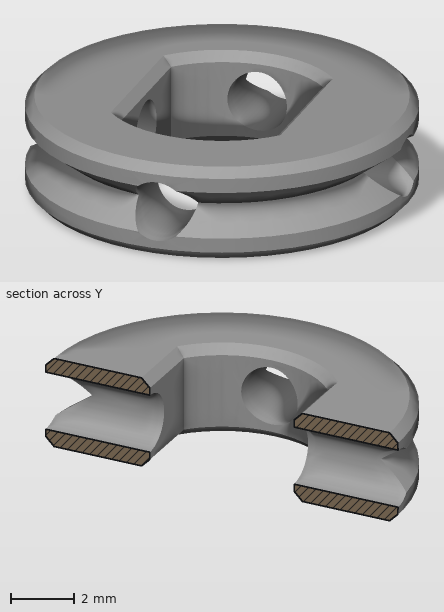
import cadquery as cq

outer_diameter = 12.5
thickness = outer_diameter / 4
edge_chamfer = 0.3

groove_width = thickness / 2
groove_depth = 1.05

bore_diameter = 7.0
bore_flat_width = 5.1

cross_hole_diameter = 2.0
hole_seam_angle = 45

outer_radius = outer_diameter / 2
half_thickness = thickness / 2
half_groove = groove_width / 2
chamfer_height = half_thickness - edge_chamfer


def grooved_disc():
    """Chamfered disc with a V groove around its rim, centred on the origin."""
    chamfer_radius = outer_radius - edge_chamfer
    profile = (
        cq.Workplane("XZ")
        .moveTo(0, -half_thickness)
        .lineTo(chamfer_radius, -half_thickness)
        .lineTo(outer_radius, -chamfer_height)
        .lineTo(outer_radius, -half_groove)
        .lineTo(outer_radius - groove_depth, 0)
        .lineTo(outer_radius, half_groove)
        .lineTo(outer_radius, chamfer_height)
        .lineTo(chamfer_radius, half_thickness)
        .lineTo(0, half_thickness)
        .close()
    )
    return profile.revolve(360, (0, 0, 0), (0, 1, 0))


def double_d_bore():
    """Cutter for the round bore with two flats, flared at both faces."""
    bore_radius = bore_diameter / 2
    round_profile = (
        cq.Workplane("XZ")
        .moveTo(0, -half_thickness)
        .lineTo(bore_radius + edge_chamfer, -half_thickness)
        .lineTo(bore_radius, -chamfer_height)
        .lineTo(bore_radius, chamfer_height)
        .lineTo(bore_radius + edge_chamfer, half_thickness)
        .lineTo(0, half_thickness)
        .close()
    )
    round_bore = round_profile.revolve(360, (0, 0, 0), (0, 1, 0))

    half_flat = bore_flat_width / 2
    flat_profile = (
        cq.Workplane("XZ")
        .moveTo(-half_flat - edge_chamfer, -half_thickness)
        .lineTo(half_flat + edge_chamfer, -half_thickness)
        .lineTo(half_flat, -chamfer_height)
        .lineTo(half_flat, chamfer_height)
        .lineTo(half_flat + edge_chamfer, half_thickness)
        .lineTo(-half_flat - edge_chamfer, half_thickness)
        .lineTo(-half_flat, chamfer_height)
        .lineTo(-half_flat, -chamfer_height)
        .close()
    )
    flat_slab = flat_profile.extrude(outer_radius, both=True)
    return round_bore.intersect(flat_slab)


def cross_hole(plane):
    """Cutter for a radial hole through the whole disc, normal to the plane."""
    hole_plane = cq.Workplane(plane).transformed(rotate=(0, 0, hole_seam_angle))
    return hole_plane.circle(cross_hole_diameter / 2).extrude(outer_radius, both=True)


result = grooved_disc().cut(double_d_bore())
for plane_name in ("XZ", "YZ"):
    result = result.cut(cross_hole(plane_name))